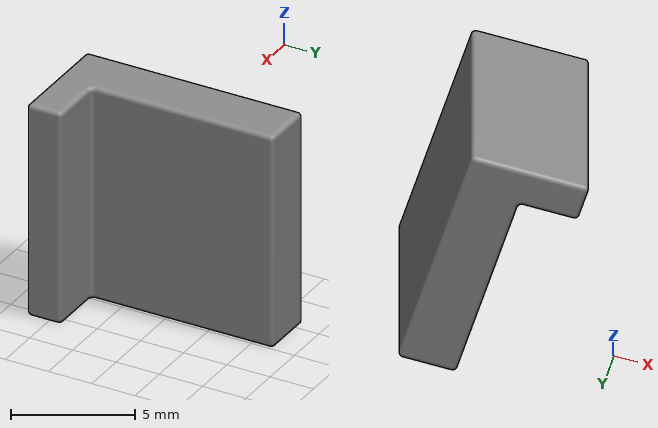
import cadquery as cq

width = 4.95
depth = 10.0
height = 9.8

long_leg_thickness = 2.45
short_leg_thickness = 1.6

edge_radius = 0.2


def l_block():
    """Sharp-edged L extruded along Z, with its outer corner at the origin."""
    outline = [
        (0, 0),
        (width, 0),
        (width, short_leg_thickness),
        (long_leg_thickness, short_leg_thickness),
        (long_leg_thickness, depth),
        (0, depth),
    ]
    return cq.Workplane("XY").polyline(outline).close().extrude(height)


result = l_block().edges().fillet(edge_radius)